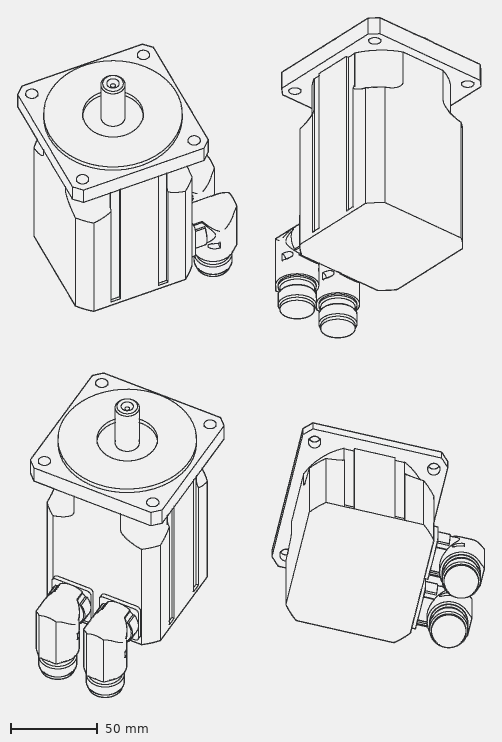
import cadquery as cq
import math

TOTAL_LENGTH = 172.5

FLANGE_SIDE = 86.0
FLANGE_THICKNESS = 11.0
FLANGE_CHAMFER = 4.8
BOLT_SPACING = 70.7
BOLT_HOLE_DIAMETER = 7.0
PILOT_DIAMETER = 80.0
PILOT_HEIGHT = 3.0
PILOT_RECESS_DIAMETER = 35.0
PILOT_RECESS_DEPTH = 3.0

SHAFT_DIAMETER = 14.0
SHAFT_TOP = 30.2
SHAFT_CHAMFER = 1.0
CENTRE_CONE_DIAMETER = 7.0
CENTRE_HOLE_DIAMETER = 2.8
CENTRE_CONE_DEPTH = 1.9
CENTRE_HOLE_DEPTH = 8.6

BODY_SIDE = 74.0
BODY_HALF = BODY_SIDE / 2
BODY_CORNER_DIAMETER = 94.0
BODY_BOTTOM = -120.0

RELIEF_RADIUS = PILOT_DIAMETER / 2
RELIEF_LENGTH = 20.2
RELIEF_FILLET = 10.0

GROOVE_WIDTH = 5.9
GROOVE_CENTRE_Y = 15.0
GROOVE_DEPTH = 1.5
GROOVE_FLOOR_GAP = 3.1

CONNECTOR_X = 15.5
CONNECTOR_AXIS_Z = -102.3
CONNECTOR_REACH = 31.9

ELBOW_DIAMETER = 25.0
ELBOW_RADIUS = ELBOW_DIAMETER / 2
ELBOW_BOTTOM = -125.8
ELBOW_AXIS_Y = BODY_HALF + CONNECTOR_REACH - ELBOW_RADIUS
ELBOW_FLAT_HALF_WIDTH = 5.5
ELBOW_BEVEL_START = 9.3

BRANCH_RADIUS = 12.8
BRANCH_WIDTH = 2 * BRANCH_RADIUS
BRANCH_CORE_RADIUS = 11.9
RIDGE_WIDTH = 14.5
RIDGE_LENGTH = ELBOW_AXIS_Y - BODY_HALF
SIDE_RIDGE_HALF_HEIGHT = 7.6
SIDE_RIDGE_LENGTH = 9.8
BASE_THICKNESS = 2.6
BASE_CORNER_RADIUS = 2.6

POCKET_DIAMETER = 4.7
POCKET_AXIS_X = 12.0
POCKET_DROP = 9.8
POCKET_END = 1.0

PLUG_COLLAR_DIAMETER = 22.0
PLUG_NECK_DIAMETER = 20.0
PLUG_COLLAR_RADIUS = PLUG_COLLAR_DIAMETER / 2
PLUG_NECK_RADIUS = PLUG_NECK_DIAMETER / 2
PLUG_BEVEL = PLUG_COLLAR_RADIUS - PLUG_NECK_RADIUS
PLUG_RIM_HEIGHT = 1.0
PLUG_COLLAR_TOP = 6.7
PLUG_COLLAR_BOTTOM = 13.5
PLUG_BOTTOM = SHAFT_TOP - TOTAL_LENGTH


def cylinder(radius, bottom, top):
    """Upright cylinder about the Z axis."""
    return cq.Workplane("XY").workplane(offset=bottom).circle(radius).extrude(top - bottom)


def lying_cylinder(radius, y_start, y_end):
    """Cylinder parallel to Y on the branch axis of a connector at X = 0."""
    return (
        cq.Workplane("XZ", origin=(0, y_start, CONNECTOR_AXIS_Z))
        .circle(radius)
        .extrude(y_start - y_end)
    )


def make_flange():
    plate = (
        cq.Workplane("XY")
        .rect(FLANGE_SIDE, FLANGE_SIDE)
        .extrude(-FLANGE_THICKNESS)
        .edges("|Z")
        .chamfer(FLANGE_CHAMFER)
    )
    bolt_holes = (
        cq.Workplane("XY")
        .rect(BOLT_SPACING, BOLT_SPACING, forConstruction=True)
        .vertices()
        .circle(BOLT_HOLE_DIAMETER / 2)
        .extrude(-FLANGE_THICKNESS)
    )
    pilot = cylinder(PILOT_DIAMETER / 2, 0, PILOT_HEIGHT)
    recess = cylinder(PILOT_RECESS_DIAMETER / 2, PILOT_HEIGHT - PILOT_RECESS_DEPTH, PILOT_HEIGHT)
    return plate.cut(bolt_holes).union(pilot.cut(recess))


def make_shaft():
    rod = cylinder(SHAFT_DIAMETER / 2, -FLANGE_THICKNESS, SHAFT_TOP).faces(">Z").chamfer(SHAFT_CHAMFER)
    centre_hole = (
        cq.Workplane("XZ")
        .moveTo(0, SHAFT_TOP)
        .lineTo(CENTRE_CONE_DIAMETER / 2, SHAFT_TOP)
        .lineTo(CENTRE_HOLE_DIAMETER / 2, SHAFT_TOP - CENTRE_CONE_DEPTH)
        .lineTo(CENTRE_HOLE_DIAMETER / 2, SHAFT_TOP - CENTRE_HOLE_DEPTH)
        .lineTo(0, SHAFT_TOP - CENTRE_HOLE_DEPTH)
        .close()
        .revolve()
    )
    return rod.cut(centre_hole)


def make_corner_relief():
    """Ring that trims the body to a cylinder, flaring out with a fillet at its lower end."""
    top = -FLANGE_THICKNESS
    fillet_top = top - RELIEF_LENGTH
    outside = RELIEF_RADIUS + RELIEF_FILLET
    return (
        cq.Workplane("XZ")
        .moveTo(RELIEF_RADIUS, top)
        .lineTo(RELIEF_RADIUS, fillet_top)
        .radiusArc((outside, fillet_top - RELIEF_FILLET), -RELIEF_FILLET)
        .lineTo(outside, top)
        .close()
        .revolve(360, (0, 0, 0), (0, 1, 0))
    )


def make_side_grooves():
    """Two grooves on each X side, open to the flange and closed near the bottom."""
    bottom = BODY_BOTTOM + GROOVE_FLOOR_GAP
    height = -FLANGE_THICKNESS - bottom
    places = [(x, y) for x in (-BODY_HALF, BODY_HALF) for y in (-GROOVE_CENTRE_Y, GROOVE_CENTRE_Y)]
    return (
        cq.Workplane("XY")
        .workplane(offset=bottom)
        .pushPoints(places)
        .rect(2 * GROOVE_DEPTH, GROOVE_WIDTH)
        .extrude(height)
    )


def make_motor():
    body = (
        cq.Workplane("XY")
        .workplane(offset=BODY_BOTTOM)
        .rect(BODY_SIDE, BODY_SIDE)
        .extrude(-FLANGE_THICKNESS - BODY_BOTTOM)
        .intersect(cylinder(BODY_CORNER_DIAMETER / 2, BODY_BOTTOM, 0))
        .cut(make_corner_relief())
        .cut(make_side_grooves())
    )
    return body.union(make_flange()).union(make_shaft())


def make_upright(top):
    """Upright round column with a bevelled flat on its +Y side."""
    bevel_x = math.sqrt(ELBOW_RADIUS**2 - ELBOW_BEVEL_START**2)
    return (
        cq.Workplane("XY", origin=(0, ELBOW_AXIS_Y, ELBOW_BOTTOM))
        .moveTo(bevel_x, ELBOW_BEVEL_START)
        .lineTo(ELBOW_FLAT_HALF_WIDTH, ELBOW_RADIUS)
        .lineTo(-ELBOW_FLAT_HALF_WIDTH, ELBOW_RADIUS)
        .lineTo(-bevel_x, ELBOW_BEVEL_START)
        .threePointArc((0, -ELBOW_RADIUS), (bevel_x, ELBOW_BEVEL_START))
        .close()
        .extrude(top - ELBOW_BOTTOM)
    )


def make_branch_block(width, bottom, top, length):
    """Block on the branch axis from bottom to top, reaching from the motor body in +Y."""
    return (
        cq.Workplane("XY", origin=(0, BODY_HALF, CONNECTOR_AXIS_Z + bottom))
        .box(width, length, top - bottom, centered=(True, False, False))
    )


def make_elbow():
    """Upright column and upper branch ridge under one rounded top."""
    column = make_upright(CONNECTOR_AXIS_Z + BRANCH_RADIUS)
    upper_ridge = make_branch_block(RIDGE_WIDTH, 0, BRANCH_RADIUS, RIDGE_LENGTH)
    waste_above_top = make_branch_block(BRANCH_WIDTH, 0, BRANCH_RADIUS, CONNECTOR_REACH).cut(
        lying_cylinder(BRANCH_RADIUS, BODY_HALF, BODY_HALF + CONNECTOR_REACH)
    )
    return column.union(upper_ridge).cut(waste_above_top)


def make_branch():
    """Round core with a ridge below and short ridges on both sides."""
    core = lying_cylinder(BRANCH_CORE_RADIUS, BODY_HALF, ELBOW_AXIS_Y)
    lower_ridge = make_branch_block(RIDGE_WIDTH, -BRANCH_RADIUS, 0, RIDGE_LENGTH)
    side_ridges = make_branch_block(
        BRANCH_WIDTH, -SIDE_RIDGE_HALF_HEIGHT, SIDE_RIDGE_HALF_HEIGHT, SIDE_RIDGE_LENGTH
    )
    ridges = lower_ridge.union(side_ridges).intersect(
        lying_cylinder(BRANCH_RADIUS, BODY_HALF, ELBOW_AXIS_Y)
    )
    return core.union(ridges)


def make_base():
    """Square foot with rounded corners that sits on the motor body."""
    block = make_branch_block(BRANCH_WIDTH, -BRANCH_RADIUS, BRANCH_RADIUS, BASE_THICKNESS)
    return block.edges("|Y").fillet(BASE_CORNER_RADIUS)


def make_screw_pockets():
    """Round-bottomed pockets parallel to Y, open toward the motor."""
    y_end = ELBOW_AXIS_Y - POCKET_END
    return (
        cq.Workplane("XZ", origin=(0, y_end, CONNECTOR_AXIS_Z - POCKET_DROP))
        .pushPoints([(-POCKET_AXIS_X, 0), (POCKET_AXIS_X, 0)])
        .circle(POCKET_DIAMETER / 2)
        .extrude(ELBOW_RADIUS)
    )


def make_plug():
    """Turned plug end: rim, neck, bevelled collar and tip."""
    bottom = PLUG_BOTTOM - ELBOW_BOTTOM
    return (
        cq.Workplane("XZ", origin=(0, ELBOW_AXIS_Y, ELBOW_BOTTOM))
        .moveTo(0, 0)
        .lineTo(PLUG_COLLAR_RADIUS, 0)
        .lineTo(PLUG_COLLAR_RADIUS, -PLUG_RIM_HEIGHT)
        .lineTo(PLUG_NECK_RADIUS, -PLUG_RIM_HEIGHT - PLUG_BEVEL)
        .lineTo(PLUG_NECK_RADIUS, -PLUG_COLLAR_TOP + PLUG_BEVEL)
        .lineTo(PLUG_COLLAR_RADIUS, -PLUG_COLLAR_TOP)
        .lineTo(PLUG_COLLAR_RADIUS, -PLUG_COLLAR_BOTTOM)
        .lineTo(PLUG_NECK_RADIUS, -PLUG_COLLAR_BOTTOM - PLUG_BEVEL)
        .lineTo(PLUG_NECK_RADIUS, bottom)
        .lineTo(0, bottom)
        .close()
        .revolve()
    )


def make_connector(x):
    """Complete angled connector at the given X position."""
    connector = (
        make_elbow()
        .cut(make_screw_pockets())
        .union(make_branch())
        .union(make_base())
        .union(make_plug())
    )
    return connector.translate((x, 0, 0))


motor = make_motor()
connectors = [make_connector(x) for x in (-CONNECTOR_X, CONNECTOR_X)]

result = cq.Compound.makeCompound([motor.val(), *[connector.val() for connector in connectors]])